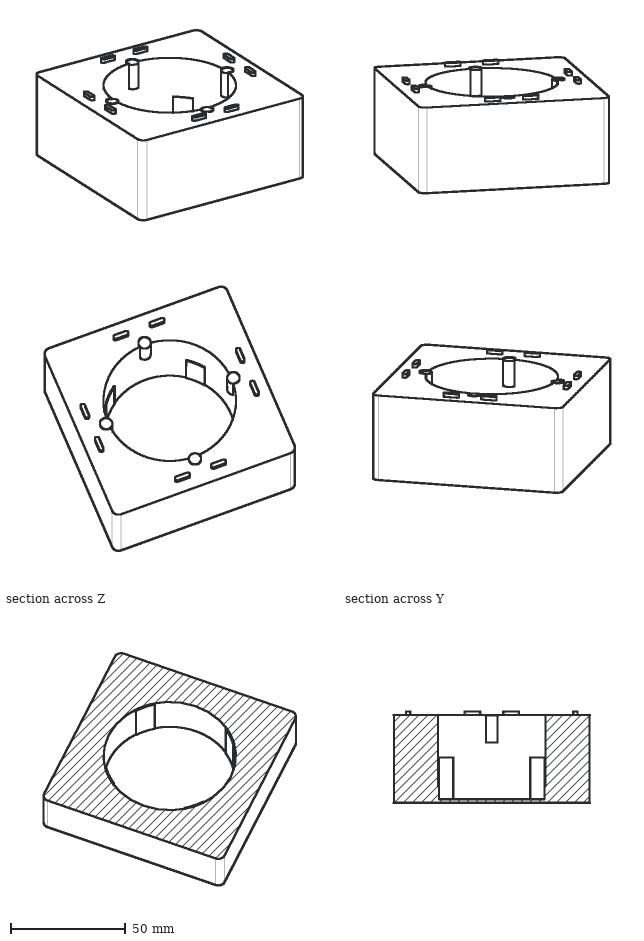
import cadquery as cq
side = 85.9
total_height = 40.0
peg_height = 1.55
body_height = total_height - peg_height
corner_radius = 3.0

cavity_top_radius = 29.0
cavity_floor_radius = 28.8
floor_thickness = 1.55
cavity_depth = body_height - floor_thickness

post_radius = 2.75
post_circle_radius = 30.0
post_length = 11.8
post_recess = 0.35

pad_width = 8.9
pad_height = 18.4
pad_inner_radius = 28.5

peg_length = 7.0
peg_width = 2.0
peg_pair_offset = 8.5
peg_side_offset = 36.6

overlap = 1.7


def make_body():
    return (
        cq.Workplane("XY")
        .rect(side, side)
        .extrude(body_height)
        .edges("|Z")
        .fillet(corner_radius)
    )


def make_cavity():
    cone = cq.Solid.makeCone(cavity_floor_radius, cavity_top_radius, cavity_depth)
    return cq.Workplane(cone).translate((0, 0, floor_thickness))


def make_posts():
    return (
        cq.Workplane("XY", origin=(0, 0, body_height - post_recess))
        .polarArray(post_circle_radius, 0, 360, 4)
        .circle(post_radius)
        .extrude(-post_length)
    )


def make_post_recesses():
    return (
        cq.Workplane("XY", origin=(0, 0, body_height))
        .polarArray(post_circle_radius, 0, 360, 4)
        .circle(post_radius)
        .extrude(-post_recess)
    )


def make_pads():
    ring = (
        cq.Workplane("XY")
        .circle(cavity_top_radius + overlap)
        .circle(pad_inner_radius)
        .extrude(floor_thickness + pad_height)
    )
    cross = (
        cq.Workplane("XY")
        .rect(side, pad_width)
        .extrude(body_height)
        .union(cq.Workplane("XY").rect(pad_width, side).extrude(body_height))
        .rotate((0, 0, 0), (0, 0, 1), 45)
    )
    return ring.intersect(cross)


def make_pegs():
    pair = (
        cq.Workplane("XY", origin=(0, 0, body_height))
        .pushPoints([(-peg_pair_offset, peg_side_offset), (peg_pair_offset, peg_side_offset)])
        .slot2D(peg_length, peg_width)
        .extrude(peg_height)
    )
    pegs = pair
    for quarter_turn in (90, 180, 270):
        pegs = pegs.union(pair.rotate((0, 0, 0), (0, 0, 1), quarter_turn))
    return pegs


result = (
    make_body()
    .cut(make_cavity())
    .union(make_pads())
    .cut(make_post_recesses())
    .union(make_posts())
    .union(make_pegs())
)